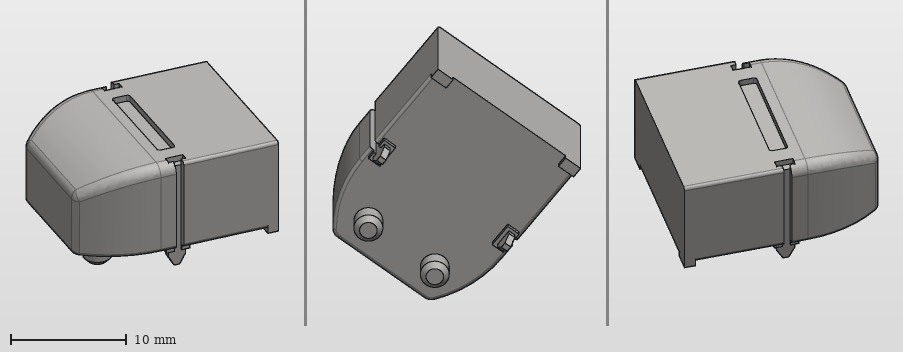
import cadquery as cq
import math


width = 15.5
length = 18.2
top_z = 8.88
foot_height = 0.47
half_width = width / 2
body_height = top_z - foot_height
edge_radius = 0.3

nose_straight_length = 1.45
nose_curve_length = 7.1
nose_curve_radius = 11.23
nose_fillet = 1.0
curve_inset = nose_curve_radius - math.sqrt(nose_curve_radius**2 - nose_curve_length**2)
match_tolerance = 0.02
half_curve_length = nose_curve_length / 2
half_curve_inset = nose_curve_radius - math.sqrt(nose_curve_radius**2 - half_curve_length**2)
nose_back_y = nose_curve_length + nose_straight_length

slot_width = 0.71
slot_depth = 0.65
slot_center_y = nose_back_y + slot_width / 2
clip_thickness = 0.64
clip_width = 1.64
clip_recess = 0.55
clip_tip_width = 0.51
barb_depth = 1.51
barb_straight = 0.53
clip_center_x = half_width - slot_depth - clip_thickness / 2

recess_length = 9.9
recess_width = clip_width
recess_corner_radius = 0.25
recess_depth = 0.6

foot_inner_inset = 1.64
back_foot_length = 1.0
clip_foot_length = 2.2
clip_foot_inset = 0.42

peg_diameter = 2.5
peg_spacing = 7.23
peg_y = 2.93
peg_chamfer = 0.5


def box(x_range, y_range, z_range):
    """Axis-aligned block between pairs of limits."""
    corner = (x_range[0], y_range[0], z_range[0])
    size = (x_range[1] - x_range[0], y_range[1] - y_range[0], z_range[1] - z_range[0])
    return cq.Workplane("XY").box(*size, centered=False).translate(corner)


def both_sides(half):
    """A feature on the +X side together with its mirror image."""
    return half.union(half.mirror("YZ"))


def rear_block():
    block = box((-half_width, half_width), (nose_back_y, length), (foot_height, top_z))
    return block.edges("|Y").fillet(edge_radius)


def nose():
    tip_half_width = half_width - curve_inset
    plan = (
        cq.Workplane("XY", origin=(0, 0, foot_height))
        .moveTo(-half_width, nose_back_y)
        .lineTo(-half_width, nose_curve_length)
        .threePointArc((half_curve_inset - half_width, half_curve_length), (-tip_half_width, 0))
        .lineTo(tip_half_width, 0)
        .threePointArc((half_width - half_curve_inset, half_curve_length), (half_width, nose_curve_length))
        .lineTo(half_width, nose_back_y)
        .close()
        .extrude(body_height)
    )
    profile = (
        cq.Workplane("YZ")
        .moveTo(nose_back_y, foot_height)
        .lineTo(nose_back_y, top_z)
        .lineTo(nose_curve_length, top_z)
        .threePointArc((half_curve_length, top_z - half_curve_inset), (0, top_z - curve_inset))
        .lineTo(0, foot_height)
        .close()
        .extrude(width, both=True)
    )
    sharp = plan.intersect(profile)

    def is_outer_edge(edge):
        """True for the sharp side, crown and front edges; false for the base, back and smooth seams."""
        center = edge.Center()
        on_base = center.z < foot_height + match_tolerance
        on_back = abs(center.y - nose_back_y) < match_tolerance
        on_seam = abs(center.y - nose_curve_length) < match_tolerance
        return not (on_base or on_back or on_seam)

    rounded = sharp.edges().filter(is_outer_edge).fillet(nose_fillet)

    def is_not_back_edge(edge):
        return edge.Center().y < nose_back_y - match_tolerance

    return rounded.faces("<Z").edges().filter(is_not_back_edge).fillet(edge_radius)


def feet():
    inner_x = half_width - foot_inner_inset
    overlap_z = foot_height + edge_radius
    back_foot = box((inner_x, half_width), (length - back_foot_length, length), (0, overlap_z))
    clip_foot = box(
        (inner_x, half_width - clip_foot_inset),
        (slot_center_y - clip_foot_length / 2, slot_center_y + clip_foot_length / 2),
        (0, overlap_z),
    )
    return both_sides(back_foot.union(clip_foot))


def side_slots():
    slot = box(
        (half_width - slot_depth, half_width),
        (slot_center_y - slot_width / 2, slot_center_y + slot_width / 2),
        (0, top_z),
    )
    return both_sides(slot)


def roof_recesses():
    clip_pocket = (
        cq.Workplane("XY", origin=(clip_center_x, slot_center_y, top_z))
        .rect(clip_thickness, clip_width)
        .extrude(-clip_recess)
    )
    middle = (
        cq.Workplane("XY", origin=(0, slot_center_y, top_z))
        .rect(recess_length, recess_width)
        .extrude(-recess_depth)
        .edges("|Z")
        .fillet(recess_corner_radius)
    )
    return both_sides(clip_pocket).union(middle)


def clip_barbs():
    half_clip = clip_width / 2
    half_tip = clip_tip_width / 2
    barb = (
        cq.Workplane("YZ", origin=(clip_center_x, 0, 0))
        .polyline(
            [
                (slot_center_y - half_clip, foot_height),
                (slot_center_y - half_clip, -barb_straight),
                (slot_center_y - half_tip, -barb_depth),
                (slot_center_y + half_tip, -barb_depth),
                (slot_center_y + half_clip, -barb_straight),
                (slot_center_y + half_clip, foot_height),
            ]
        )
        .close()
        .extrude(clip_thickness / 2, both=True)
    )
    return both_sides(barb)


def pegs():
    return (
        cq.Workplane("XY", origin=(0, peg_y, foot_height))
        .pushPoints([(-peg_spacing / 2, 0), (peg_spacing / 2, 0)])
        .circle(peg_diameter / 2)
        .extrude(-(foot_height + barb_depth))
        .faces("<Z")
        .chamfer(peg_chamfer)
    )


housing = rear_block().union(nose()).union(feet())
housing = housing.cut(side_slots()).cut(roof_recesses())
result = housing.union(clip_barbs()).union(pegs())